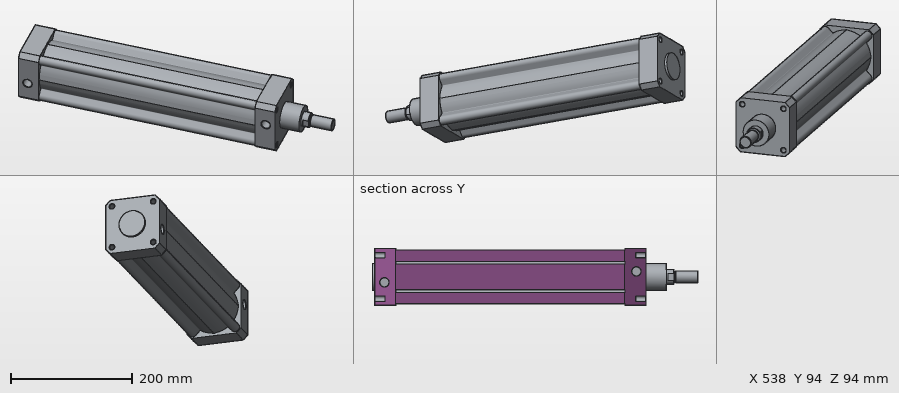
import cadquery as cq
import math


cap_length = 35.0
body_length = 448.0
tube_length = body_length - 2 * cap_length
tube_start = cap_length
front_cap_start = tube_start + tube_length

cap_width = 94.0
cap_chamfer = 8.0
collar_diameter = 45.0
rear_boss_length = 4.0
bushing_length = 33.5

port_diameter = 15.0
port_mouth_diameter = 16.7
port_depth = 17.0
port_from_face = 16.0
port_offset = 9.0

mount_pitch = 72.0
mount_diameter = 8.5
mount_mouth_diameter = 10.0
mouth_angle = 90.0
mount_depth = 17.0

barrel_radius = 42.0
ridge_half_width = 9.0
lobe_center = 37.0
lobe_radius = 7.5
lobe_root_fillet = 1.0
edge_tolerance = 0.001

rod_diameter = 25.0
rod_reach = 46.0
flats_length = 9.5
flats_width = 22.0
thread_diameter = 20.0
thread_length = 40.0
rod_chamfer = 0.5
tip_chamfer = 1.0
undercut_length = 2.0
undercut_diameter = 17.0


def disc(start, length, diameter):
    """Cylinder on the X axis from the given X position."""
    return cq.Workplane("YZ").workplane(offset=start).circle(diameter / 2).extrude(length)


def cap_block(start, outer_face, port_x, port_z):
    """Square end cap with chamfered long edges, four mounting holes and one air port."""
    block = (
        cq.Workplane("YZ")
        .workplane(offset=start)
        .rect(cap_width, cap_width)
        .extrude(cap_length)
        .edges("|X")
        .chamfer(cap_chamfer)
    )
    block = (
        block.faces(outer_face)
        .workplane(centerOption="CenterOfBoundBox")
        .rect(mount_pitch, mount_pitch, forConstruction=True)
        .vertices()
        .cskHole(mount_diameter, mount_mouth_diameter, mouth_angle, mount_depth)
    )
    return (
        block.faces("<Y")
        .workplane(origin=(port_x, -cap_width / 2, port_z))
        .cskHole(port_diameter, port_mouth_diameter, mouth_angle, port_depth)
    )


def make_rear_cap():
    cap = cap_block(0, "<X", port_from_face, -port_offset)
    return cap.union(disc(-rear_boss_length, rear_boss_length, collar_diameter))


def make_front_cap():
    """Front cap with its rod bushing, bored through for the rod."""
    cap = cap_block(front_cap_start, ">X", body_length - port_from_face, port_offset)
    cap = cap.union(disc(body_length, bushing_length, collar_diameter))
    return cap.cut(disc(front_cap_start, cap_length + bushing_length, rod_diameter))


def tube_end_plane():
    """Workplane at the rear end of the tube, on which its profile is drawn."""
    return cq.Workplane("YZ").workplane(offset=tube_start)


def make_ridge():
    """Ridge whose sides leave the barrel tangentially and meet at a crest on +Z."""
    tangent_angle = math.asin(ridge_half_width / barrel_radius)
    tangent_height = barrel_radius * math.cos(tangent_angle)
    crest_height = barrel_radius / math.cos(tangent_angle)
    corners = [
        (0, 0),
        (ridge_half_width, tangent_height),
        (0, crest_height),
        (-ridge_half_width, tangent_height),
    ]
    return tube_end_plane().polyline(corners).close().extrude(tube_length)


def make_lobe():
    """Round-topped lobe along +Z whose parallel flanks run down into the barrel."""
    lobe_distance = lobe_center * math.sqrt(2)
    return (
        tube_end_plane()
        .moveTo(-lobe_radius, 0)
        .lineTo(lobe_radius, 0)
        .lineTo(lobe_radius, lobe_distance)
        .threePointArc((0, lobe_distance + lobe_radius), (-lobe_radius, lobe_distance))
        .close()
        .extrude(tube_length)
    )


def is_lobe_root(edge):
    """True for the lengthwise edges where a lobe flank meets the barrel."""
    center = edge.Center()
    on_barrel = abs(math.hypot(center.y, center.z) - barrel_radius) < edge_tolerance
    off_diagonal = abs(abs(abs(center.y) - abs(center.z)) - lobe_radius * math.sqrt(2)) < edge_tolerance
    return on_barrel and off_diagonal


def make_tube():
    """Extruded profile tube between the caps."""
    tube = tube_end_plane().circle(barrel_radius).extrude(tube_length)
    quarter_turns = [90 * side for side in range(4)]
    for turn in quarter_turns:
        tube = tube.union(make_lobe().rotate((0, 0, 0), (1, 0, 0), turn + 45))
    tube = tube.edges("|X").filter(is_lobe_root).fillet(lobe_root_fillet)
    for turn in quarter_turns:
        tube = tube.union(make_ridge().rotate((0, 0, 0), (1, 0, 0), turn))
    return tube


def make_rod():
    """Piston rod with wrench flats, a thread undercut and a thread stub."""
    shoulder = body_length + rod_reach
    rod = disc(front_cap_start, shoulder - front_cap_start, rod_diameter)
    rod = rod.faces(">X").chamfer(rod_chamfer)
    jaws = (
        cq.Workplane("YZ")
        .workplane(offset=shoulder - flats_length)
        .rect(2 * rod_diameter, 2 * rod_diameter)
        .rect(flats_width, 2 * rod_diameter)
        .extrude(flats_length)
    )
    rod = rod.cut(jaws)
    thread_start = shoulder + undercut_length
    thread = disc(thread_start, thread_length - undercut_length, thread_diameter)
    thread = thread.faces(">X or <X").chamfer(tip_chamfer)
    return rod.union(disc(shoulder, undercut_length, undercut_diameter)).union(thread)


rear_cap = make_rear_cap()
tube = make_tube()
front_cap = make_front_cap()
rod = make_rod()

result = cq.Compound.makeCompound([rear_cap.val(), tube.val(), front_cap.val(), rod.val()])